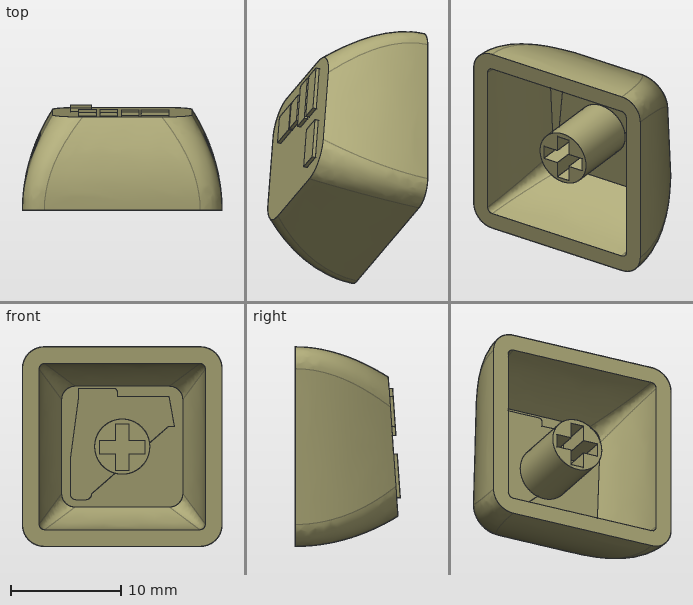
import cadquery as cq
import math


RIM_SIZE = 18.1
RIM_CORNER = 2.0
TOP_SIZE = 12.63
TOP_CORNER = 2.72
TOP_HEIGHT = 8.89
TOP_TILT = 4.0

OPENING_SIZE = 15.06
OPENING_CORNER = 0.5
CEILING_SIZE = 10.97
CEILING_CORNER = 1.21
TOP_WALL = 1.47
CEILING_HEIGHT = TOP_HEIGHT - TOP_WALL

LOFT_STEPS = 4

STEM_DIAMETER = 5.0
STEM_RECESS = 1.0
CROSS_WIDTH = 4.15
CROSS_HEIGHT = 4.2
CROSS_ARM = 1.25
CROSS_DROP = 0.05
CROSS_DEPTH = 3.98

PLATE_THICKNESS = TOP_WALL / 2
PAD_RISE = 0.33
PLATE_LEFT = -4.7
PLATE_BOTTOM = -4.81
UPPER_LEFT = -3.98
TALL_TOP = 5.29
SHORT_TOP = 4.56
TALL_BOTTOM = 1.0
SHORT_BOTTOM = 1.83
STEP_X = -0.43
STEP_FILLET = 0.36
SHORT_RIGHT = 4.24
SLOPE_RIGHT = 4.72
SLOPE_HEEL = 4.18
LEFT_BEND_LOW = -1.18
LEFT_BEND_HIGH = 4.25
FOOT_RIGHT = -2.77
FOOT_TOP = -0.65
FOOT_PAD_BOTTOM = -4.63
FOOT_FILLET = 0.55

PADS = [
    (UPPER_LEFT, -2.33, TALL_BOTTOM, TALL_TOP),
    (-2.01, STEP_X, TALL_BOTTOM, TALL_TOP),
    (-0.07, 1.54, SHORT_BOTTOM, SHORT_TOP),
    (1.7, SHORT_RIGHT, SHORT_BOTTOM, SHORT_TOP),
    (PLATE_LEFT, FOOT_RIGHT, FOOT_PAD_BOTTOM, FOOT_TOP),
]


def tilted_plane(height, tilt):
    """Plane crossing the Y axis at a height, tilted about X, with its normal towards +Y."""
    angle = math.radians(tilt)
    return cq.Plane(origin=(0, height, 0), xDir=(1, 0, 0), normal=(0, math.cos(angle), math.sin(angle)))


def facing_plane(height):
    """Plane across the Y axis whose local axes are X and Z; negative extrusions go towards +Y."""
    return cq.Workplane("XZ", origin=(0, height, 0))


def curved_skin(base_size, base_corner, end_size, end_corner, height):
    """Rounded square that leaves the rim plane squarely and draws in along parabolas."""
    sections = []
    for step in range(LOFT_STEPS + 1):
        rise = step / LOFT_STEPS
        inset = rise ** 2
        size = base_size + (end_size - base_size) * inset
        corner = base_corner + (end_corner - base_corner) * inset
        outline = cq.Sketch().rect(size, size).vertices().fillet(corner).reset()
        plane = tilted_plane(height * rise, TOP_TILT * rise)
        sections.append(outline.faces().val().outerWire().moved(plane.location))
    return cq.Workplane(cq.Solid.makeLoft(sections))


def slab(low, high):
    """Wide slab parallel to the top face between two heights on the Y axis."""
    thickness = (high - low) * math.cos(math.radians(TOP_TILT))
    span = 2 * RIM_SIZE
    return cq.Workplane(tilted_plane(low, TOP_TILT)).rect(span, span).extrude(thickness)


def make_stem():
    """Round stem running from its recessed end up to the ceiling."""
    column = facing_plane(STEM_RECESS).circle(STEM_DIAMETER / 2).extrude(-TOP_HEIGHT)
    return column.cut(slab(CEILING_HEIGHT, 2 * RIM_SIZE))


def make_cross_socket():
    socket = facing_plane(STEM_RECESS).center(0, -CROSS_DROP)
    across = socket.rect(CROSS_WIDTH, CROSS_ARM).extrude(-CROSS_DEPTH)
    upright = socket.rect(CROSS_ARM, CROSS_HEIGHT).extrude(-CROSS_DEPTH)
    return across.union(upright)


def make_plate():
    """Plate flush with the ceiling, its outline drawn tightly around the pads."""
    outline = (
        facing_plane(0)
        .moveTo(UPPER_LEFT, TALL_TOP)
        .lineTo(STEP_X - STEP_FILLET, TALL_TOP)
        .radiusArc((STEP_X, TALL_TOP - STEP_FILLET), STEP_FILLET)
        .lineTo(STEP_X, SHORT_TOP)
        .lineTo(SHORT_RIGHT, SHORT_TOP)
        .lineTo(SLOPE_RIGHT, SHORT_BOTTOM)
        .lineTo(SLOPE_HEEL, SHORT_BOTTOM)
        .lineTo(FOOT_RIGHT, PLATE_BOTTOM + FOOT_FILLET)
        .radiusArc((FOOT_RIGHT - FOOT_FILLET, PLATE_BOTTOM), FOOT_FILLET)
        .lineTo(PLATE_LEFT + FOOT_FILLET, PLATE_BOTTOM)
        .radiusArc((PLATE_LEFT, PLATE_BOTTOM + FOOT_FILLET), FOOT_FILLET)
        .lineTo(PLATE_LEFT, LEFT_BEND_LOW)
        .lineTo(UPPER_LEFT, LEFT_BEND_HIGH)
        .close()
    )
    return outline.extrude(-RIM_SIZE).intersect(slab(CEILING_HEIGHT, CEILING_HEIGHT + PLATE_THICKNESS))


def make_legend():
    """Plate joined with the pads that rise from it through the top wall."""
    legend = make_plate()
    pad_layer = slab(CEILING_HEIGHT + PLATE_THICKNESS / 2, TOP_HEIGHT + PAD_RISE)
    for left, right, bottom, top in PADS:
        centre = ((left + right) / 2, (bottom + top) / 2)
        pad = facing_plane(0).center(*centre).rect(right - left, top - bottom).extrude(-RIM_SIZE)
        legend = legend.union(pad.intersect(pad_layer))
    return legend


def make_cap(legend):
    """Hollow shell with its stem, recessed to receive the legend."""
    shell = curved_skin(RIM_SIZE, RIM_CORNER, TOP_SIZE, TOP_CORNER, TOP_HEIGHT)
    cavity = curved_skin(OPENING_SIZE, OPENING_CORNER, CEILING_SIZE, CEILING_CORNER, CEILING_HEIGHT)
    cap = shell.cut(cavity).union(make_stem())
    return cap.cut(make_cross_socket()).cut(legend)


legend = make_legend()
cap = make_cap(legend)
result = cq.Compound.makeCompound([cap.val(), legend.val()])